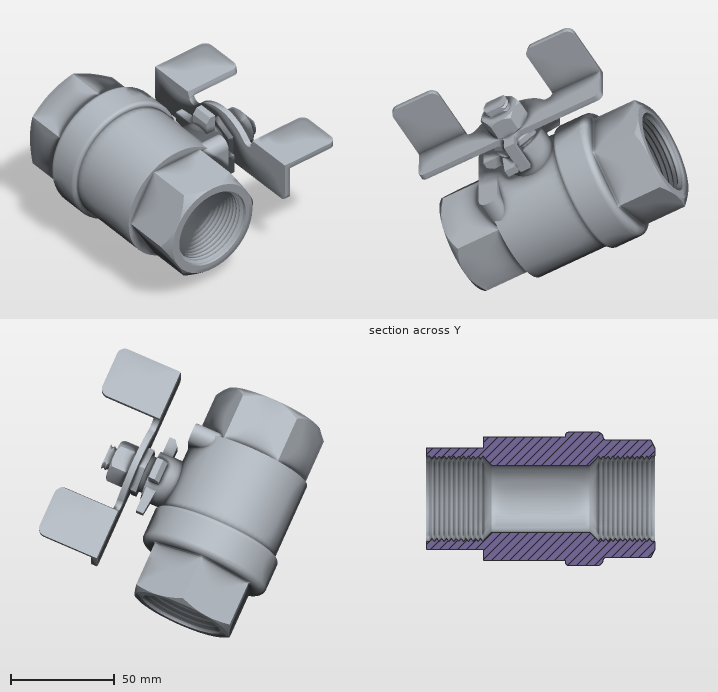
import cadquery as cq
import math


LEFT_END_X = -56.6
COLLAR_LEFT_X = -31.8
COLLAR_RIGHT_X = -13.4
BARREL_RIGHT_X = 26.0
RIGHT_END_X = 53.4
COLLAR_DIA = 64.5
COLLAR_LEFT_FILLET = 3.2
COLLAR_RIGHT_FILLET = 1.9
BARREL_DIA = 59.6
PORT_HEX_FLATS = 49.2
PORT_FACE_DIA = 49.0
LEFT_CHAMFER_LENGTH = 2.0
RIGHT_CHAMFER_LENGTH = 4.3
HEX_ROOT_FLARE = 0.7
PORT_SPIN_LEFT = 0.0
PORT_SPIN_RIGHT = 30.0

BORE_DIA = 32.0
THREAD_MINOR_DIA = 37.9
THREAD_MAJOR_DIA = 40.9
THREAD_PITCH = 2.3
THREAD_TURNS = 11
PORT_RELIEF_DEPTH = 1.6

PAD_CENTER_X = 23.6
PAD_WIDTH = 10.2
PAD_LENGTH = 47.5
PAD_TOP_Y = 29.6
PAD_BOTTOM_Y = 8.9

NECK_DIA = 25.0
NECK_TOP_Y = 40.9
GLAND_DIA = 18.5
GLAND_RIDGE_DIA = 19.8
GLAND_RIDGE_HEIGHT = 0.9
STEM_DIA = 12.5
STEM_ROOT_DIA = 10.7
STEM_FLATS = 8.6
STEM_TOP_Y = 64.4
STEM_PITCH = 2.0
STEM_GROOVES = 2

LUG_TOP_Y = 39.9
LUG_BOTTOM_Y = 34.6
LUG_REACH = 20.1
LUG_ROOT = 5.6
WIDE_LUG_SIDES = (-5.5, 5.0)
WIDE_LUG_CHAMFER_REACH = 3.0
WIDE_LUG_CHAMFER_RISE = 2.2
DRAFT_LUG_LOW_SIDE = 3.1
DRAFT_LUG_TIP_SIDE = 8.5
DRAFT_ANGLE = 6.2

LOCK_NUT_BOTTOM_Y = 43.8
LOCK_NUT_FLATS = 22.4
LOCK_NUT_SPIN = 27.7
LOCK_NUT_CHAMFER = 0.7
TOP_NUT_FLATS = 18.9
TOP_NUT_HEIGHT = 10.0
TOP_NUT_SPIN = 1.5
TOP_NUT_CHAMFER = 1.3

PLATE_BOTTOM_Y = 47.3
SHEET = 3.1
PLATE_TOP_Y = PLATE_BOTTOM_Y + SHEET
HANDLE_HALF_SPAN = 50.1
HANDLE_ROLL = 0.45
WING_TIP_Y = 79.0
WING_TOP_Z = 12.8
LEFT_WING_INNER_X = (-24.7, -23.8)
RIGHT_WING_INNER_X = (24.9, 24.7)
WING_CORNER_RADIUS = 4.0
HUMP_TOP_Z = 16.8
HUMP_END = (18.1, 8.7)
NOTCH_LOW = (20.9, 7.2)
NOTCH_END_Z = 10.0
PLATE_LOW_Z = -8.9
PLATE_CORNER_RADIUS = 3.0
TAB_HALF_WIDTH = 2.8
TAB_LOW_Z = -17.7
TAB_SHEET = 2.8
TAB_END_Y = 34.2


def corner_diameter(flats):
    """Across-corner size of a hexagon."""
    return flats / math.cos(math.radians(30))


def hex_prism(flats, height, spin, chamfer_radial=0, bottom_chamfer=0, top_chamfer=0):
    """Hexagonal prism along +Z, its ends turned off conically over the given axial lengths."""
    across = corner_diameter(flats)
    prism = cq.Workplane("XY").polygon(6, across).extrude(height)
    envelope = cq.Workplane("XY").circle(across / 2).extrude(height)
    if bottom_chamfer:
        envelope = envelope.faces("<Z").chamfer(bottom_chamfer, chamfer_radial)
    if top_chamfer:
        envelope = envelope.faces(">Z").chamfer(top_chamfer, chamfer_radial)
    return prism.intersect(envelope).rotate((0, 0, 0), (0, 0, 1), spin)


def along_x(solid, start_x):
    """Turn a solid built on +Z onto +X."""
    return solid.rotate((0, 0, 0), (0, 1, 0), 90).translate((start_x, 0, 0))


def along_y(solid, start_y):
    """Turn a solid built on +Z onto +Y."""
    return solid.rotate((0, 0, 0), (1, 0, 0), -90).translate((0, start_y, 0))


def rod_x(diameter, start_x, end_x):
    return along_x(cq.Workplane("XY").circle(diameter / 2).extrude(end_x - start_x), start_x)


def rod_y(diameter, start_y, end_y):
    return along_y(cq.Workplane("XY").circle(diameter / 2).extrude(end_y - start_y), start_y)


def make_body():
    """Collar and barrel between two hexagonal ports."""
    collar = rod_x(COLLAR_DIA, COLLAR_LEFT_X, COLLAR_RIGHT_X)
    collar = collar.faces("<X").edges().fillet(COLLAR_LEFT_FILLET)
    collar = collar.faces(">X").edges().fillet(COLLAR_RIGHT_FILLET)
    barrel = rod_x(BARREL_DIA, COLLAR_LEFT_X + COLLAR_LEFT_FILLET, BARREL_RIGHT_X)

    corner_cut = (corner_diameter(PORT_HEX_FLATS) - PORT_FACE_DIA) / 2
    left_length = COLLAR_LEFT_X - LEFT_END_X
    left_hex = hex_prism(
        PORT_HEX_FLATS, left_length, PORT_SPIN_LEFT, corner_cut, bottom_chamfer=LEFT_CHAMFER_LENGTH
    )
    right_length = RIGHT_END_X - BARREL_RIGHT_X
    right_hex = hex_prism(
        PORT_HEX_FLATS, right_length, PORT_SPIN_RIGHT, corner_cut, top_chamfer=RIGHT_CHAMFER_LENGTH
    )
    flare = (
        cq.Workplane("XY")
        .polygon(6, corner_diameter(PORT_HEX_FLATS))
        .workplane(offset=HEX_ROOT_FLARE)
        .polygon(6, corner_diameter(PORT_HEX_FLATS + 2 * HEX_ROOT_FLARE))
        .loft(ruled=True)
    )

    body = collar.union(barrel)
    body = body.union(along_x(left_hex, LEFT_END_X))
    body = body.union(along_x(flare, COLLAR_LEFT_X - HEX_ROOT_FLARE))
    return body.union(along_x(right_hex, BARREL_RIGHT_X))


def make_pad():
    """Obround pad beside the neck, standing out of the barrel."""
    pad = cq.Workplane("XY").center(PAD_CENTER_X, 0).slot2D(PAD_LENGTH, PAD_WIDTH, 90)
    return along_y(pad.extrude(PAD_TOP_Y - PAD_BOTTOM_Y), PAD_BOTTOM_Y)


def make_port_void():
    """Threaded socket opening at x = 0 and running along +X, its thread as ring grooves."""
    minor = THREAD_MINOR_DIA / 2
    major = THREAD_MAJOR_DIA / 2
    bore = BORE_DIA / 2
    thread_start = PORT_RELIEF_DEPTH + THREAD_PITCH / 2
    points = [(0, 0), (0, major), (PORT_RELIEF_DEPTH, major), (thread_start, minor)]
    for turn in range(THREAD_TURNS):
        start = thread_start + turn * THREAD_PITCH
        points.append((start + THREAD_PITCH / 2, major))
        points.append((start + THREAD_PITCH, minor))
    floor = thread_start + THREAD_TURNS * THREAD_PITCH + minor - bore
    points.append((floor, bore))
    points.append((floor, 0))
    return cq.Workplane("XY").polyline(points).close().revolve(360, (0, 0, 0), (1, 0, 0))


def cut_flow_passage(body):
    socket = make_port_void()
    body = body.cut(rod_x(BORE_DIA, LEFT_END_X, RIGHT_END_X))
    body = body.cut(socket.translate((LEFT_END_X, 0, 0)))
    return body.cut(socket.mirror("YZ").translate((RIGHT_END_X, 0, 0)))


def make_wide_lug():
    """Chamfered lug pointing along +X."""
    tip_y = LUG_BOTTOM_Y + WIDE_LUG_CHAMFER_RISE
    outline = [
        (LUG_ROOT, LUG_TOP_Y),
        (LUG_REACH, LUG_TOP_Y),
        (LUG_REACH, tip_y),
        (LUG_REACH - WIDE_LUG_CHAMFER_REACH, LUG_BOTTOM_Y),
        (LUG_ROOT, LUG_BOTTOM_Y),
    ]
    low, high = WIDE_LUG_SIDES
    return cq.Workplane("XY").workplane(offset=low).polyline(outline).close().extrude(high - low)


def make_draft_lug():
    """Lug pointing along -X whose underside and upper side taper towards the tip."""
    taper = (LUG_REACH - LUG_ROOT) * math.tan(math.radians(DRAFT_ANGLE))
    root_side = DRAFT_LUG_TIP_SIDE + taper
    profile = [
        (-LUG_ROOT, LUG_TOP_Y),
        (-LUG_REACH, LUG_TOP_Y),
        (-LUG_REACH, LUG_BOTTOM_Y + taper),
        (-LUG_ROOT, LUG_BOTTOM_Y),
    ]
    plan = [
        (-LUG_ROOT, DRAFT_LUG_LOW_SIDE),
        (-LUG_REACH, DRAFT_LUG_LOW_SIDE),
        (-LUG_REACH, DRAFT_LUG_TIP_SIDE),
        (-LUG_ROOT, root_side),
    ]
    side = cq.Workplane("XY").polyline(profile).close().extrude(root_side)
    above = cq.Workplane("XZ").polyline(plan).close().extrude(-LUG_TOP_Y)
    return side.intersect(above)


def make_neck():
    """Stem neck with two wide lugs (+X, +Z) and two drafted lugs (-X, -Z)."""
    neck = rod_y(NECK_DIA, BORE_DIA / 2, NECK_TOP_Y)
    wide = make_wide_lug()
    draft = make_draft_lug()
    neck = neck.union(wide).union(wide.rotate((0, 0, 0), (0, 1, 0), -90))
    return neck.union(draft).union(draft.rotate((0, 0, 0), (0, 1, 0), -90).mirror("YZ"))


def make_stem():
    """Gland with a thread ridge, and the grooved, double-flatted stem end above it."""
    gland = rod_y(GLAND_DIA, NECK_TOP_Y, LOCK_NUT_BOTTOM_Y)
    ridge_outline = [
        (0, NECK_TOP_Y),
        (GLAND_DIA / 2, NECK_TOP_Y),
        (GLAND_RIDGE_DIA / 2, NECK_TOP_Y + GLAND_RIDGE_HEIGHT / 2),
        (GLAND_DIA / 2, NECK_TOP_Y + GLAND_RIDGE_HEIGHT),
        (0, NECK_TOP_Y + GLAND_RIDGE_HEIGHT),
    ]
    ridge = cq.Workplane("XY").polyline(ridge_outline).close().revolve(360, (0, 0, 0), (0, 1, 0))

    crest = STEM_DIA / 2
    root = STEM_ROOT_DIA / 2
    thread_outline = [(0, STEM_TOP_Y), (crest, STEM_TOP_Y)]
    for groove in range(STEM_GROOVES):
        groove_top = STEM_TOP_Y - groove * STEM_PITCH
        thread_outline.append((root, groove_top - STEM_PITCH / 2))
        thread_outline.append((crest, groove_top - STEM_PITCH))
    thread_outline.append((crest, NECK_TOP_Y))
    thread_outline.append((0, NECK_TOP_Y))
    rod = cq.Workplane("XY").polyline(thread_outline).close().revolve(360, (0, 0, 0), (0, 1, 0))
    flats = cq.Workplane("XY").box(STEM_DIA, 2 * STEM_TOP_Y, STEM_FLATS)
    return gland.union(ridge).union(rod.intersect(flats))


def make_nuts():
    lock_height = PLATE_BOTTOM_Y - LOCK_NUT_BOTTOM_Y
    lock_nut = hex_prism(LOCK_NUT_FLATS, lock_height, LOCK_NUT_SPIN).faces(">Z").chamfer(LOCK_NUT_CHAMFER)
    top_nut = hex_prism(
        TOP_NUT_FLATS, TOP_NUT_HEIGHT, TOP_NUT_SPIN, TOP_NUT_CHAMFER, TOP_NUT_CHAMFER, TOP_NUT_CHAMFER
    )
    return along_y(lock_nut, LOCK_NUT_BOTTOM_Y).union(along_y(top_nut, PLATE_TOP_Y))


def make_handle_plate():
    """Flat plate with a round hump, a notch beside each wing and a neck down to the stop tab."""
    hump_x, hump_z = HUMP_END
    left_top_x, left_notch_x = LEFT_WING_INNER_X
    right_top_x, right_notch_x = RIGHT_WING_INNER_X
    low_notch_x, low_notch_z = NOTCH_LOW
    r = PLATE_CORNER_RADIUS
    outline = (
        cq.Workplane("XZ", origin=(0, PLATE_BOTTOM_Y, 0))
        .moveTo(-hump_x, hump_z)
        .threePointArc((0, HUMP_TOP_Z), (hump_x, hump_z))
        .threePointArc((low_notch_x, low_notch_z), (right_notch_x, NOTCH_END_Z))
        .lineTo(right_top_x, WING_TOP_Z)
        .lineTo(HANDLE_HALF_SPAN, WING_TOP_Z)
        .lineTo(HANDLE_HALF_SPAN, PLATE_LOW_Z + r)
        .radiusArc((HANDLE_HALF_SPAN - r, PLATE_LOW_Z), r)
        .lineTo(TAB_HALF_WIDTH + r, PLATE_LOW_Z)
        .radiusArc((TAB_HALF_WIDTH, PLATE_LOW_Z - r), -r)
        .lineTo(TAB_HALF_WIDTH, TAB_LOW_Z)
        .lineTo(-TAB_HALF_WIDTH, TAB_LOW_Z)
        .lineTo(-TAB_HALF_WIDTH, PLATE_LOW_Z - r)
        .radiusArc((-TAB_HALF_WIDTH - r, PLATE_LOW_Z), -r)
        .lineTo(-HANDLE_HALF_SPAN + r, PLATE_LOW_Z)
        .radiusArc((-HANDLE_HALF_SPAN, PLATE_LOW_Z + r), r)
        .lineTo(-HANDLE_HALF_SPAN, WING_TOP_Z)
        .lineTo(left_top_x, WING_TOP_Z)
        .lineTo(left_notch_x, NOTCH_END_Z)
        .threePointArc((-low_notch_x, low_notch_z), (-hump_x, hump_z))
        .close()
    )
    return outline.extrude(-SHEET)


def make_wing(outer_x, inner_x):
    """Finger wing with rounded tip corners; inner_x holds the upper and lower inner edge."""
    inner_top_x, inner_bottom_x = inner_x
    wing_bottom_z = WING_TOP_Z - SHEET
    section = [
        (inner_top_x, WING_TOP_Z),
        (outer_x, WING_TOP_Z),
        (outer_x, wing_bottom_z),
        (inner_bottom_x, wing_bottom_z),
    ]
    wing = cq.Workplane("XZ", origin=(0, PLATE_TOP_Y, 0)).polyline(section).close()
    wing = wing.extrude(PLATE_TOP_Y - WING_TIP_Y)
    return wing.faces(">Y").edges("not |X").fillet(WING_CORNER_RADIUS)


def make_handle():
    tab_length = PLATE_TOP_Y - TAB_END_Y
    tab = cq.Workplane("XY").box(2 * TAB_HALF_WIDTH, tab_length, TAB_SHEET, centered=(True, False, False))
    tab = tab.translate((0, TAB_END_Y, TAB_LOW_Z))
    handle = make_handle_plate().union(tab)
    handle = handle.union(make_wing(-HANDLE_HALF_SPAN, LEFT_WING_INNER_X))
    handle = handle.union(make_wing(HANDLE_HALF_SPAN, RIGHT_WING_INNER_X))
    return handle.rotate((0, 0, 0), (0, 1, 0), -HANDLE_ROLL)


body = cut_flow_passage(make_body().union(make_pad()).union(make_neck()))
result = body.union(make_stem()).union(make_nuts()).union(make_handle())